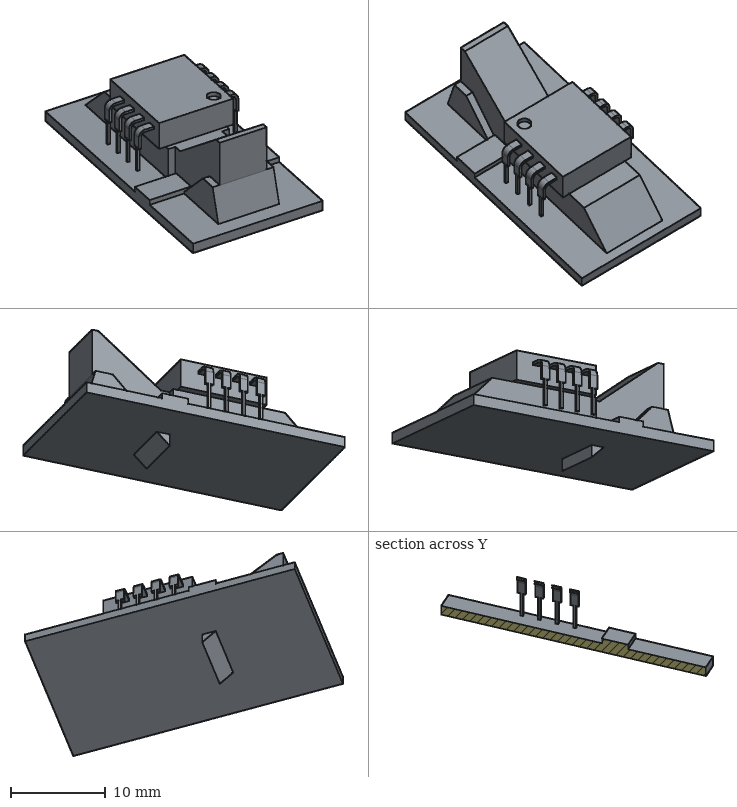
import cadquery as cq
import math


board_length = 30.0
board_width = 16.0
board_thickness = 1.2
board_left = -board_length / 2

bar_left = board_left + 18.2
bar_length = 3.0
bar_rise = 0.6

mount_width = 7.5
mount_top = 5.0
mount_left = board_left + 1.15
mount_right = board_left + 18.0
mount_ramp = 3.85

ramp_width = 5.8
ramp_foot = mount_right + 1.0
ramp_top = 10.5
ramp_crest_left = ramp_foot + 7.3
ramp_back = board_left + 27.0
wedge_depth = 1.35
wedge_length = 1.5

buttress_top = 5.2
buttress_height = buttress_top - board_thickness
buttress_crest_left = ramp_back - 2.0
buttress_front = buttress_crest_left - buttress_height
back_draft = 16.0
buttress_back = ramp_back + buttress_height * math.tan(math.radians(back_draft))

package_length = 9.94
package_width = 9.15
package_height = 3.25
package_center = board_left + 12.5
package_top = mount_top + package_height
dimple_diameter = 1.48
dimple_inset = 1.5
dimple_depth = 0.5

leads_per_side = 4
lead_pitch = 2.0
lead_row_offset = 0.5
lead_thickness = 0.3
lead_width = 0.9
lead_tip_width = 0.3
lead_bend_inside = 0.5
lead_bend_outside = lead_bend_inside + lead_thickness
lead_reach = 6.45
lead_top = 7.25
lead_shoulder = mount_top
lead_bottom = 2.13


def extrude_across(points, width):
    """Extrude an XZ outline to the given width, centred on Y = 0."""
    return cq.Workplane("XZ").polyline(points).close().extrude(width / 2, both=True)


def make_board():
    board = cq.Workplane("XY").box(
        board_length, board_width, board_thickness, centered=(True, True, False)
    )
    bar = (
        cq.Workplane("XY")
        .box(bar_length, board_width, board_thickness + bar_rise, centered=(False, True, False))
        .translate((bar_left, 0, 0))
    )
    return board.union(bar)


def make_mount():
    return extrude_across(
        [
            (mount_left, board_thickness),
            (mount_left + mount_ramp, mount_top),
            (mount_right, mount_top),
            (mount_right, board_thickness),
        ],
        mount_width,
    )


def make_ramp():
    return extrude_across(
        [
            (mount_right, -wedge_depth),
            (mount_right, mount_top),
            (ramp_foot, mount_top),
            (ramp_crest_left, ramp_top),
            (ramp_back, ramp_top),
            (ramp_back, board_thickness),
            (mount_right + wedge_length, board_thickness),
            (mount_right + wedge_length, 0),
        ],
        ramp_width,
    )


def make_buttress():
    return extrude_across(
        [
            (buttress_front, board_thickness),
            (buttress_crest_left, buttress_top),
            (ramp_back, buttress_top),
            (buttress_back, board_thickness),
        ],
        mount_width,
    )


def make_base():
    return make_board().union(make_mount()).union(make_ramp()).union(make_buttress())


def make_lead():
    """One lead on the -Y side, centred on X = 0 and rooted in the package's side face."""
    outer_y = -lead_reach
    inner_y = outer_y + lead_thickness
    root_y = -package_width / 2
    underside = lead_top - lead_thickness
    bend_y = outer_y + lead_bend_outside
    bend_z = lead_top - lead_bend_outside
    diagonal = math.sqrt(0.5)
    outside_step = lead_bend_outside * diagonal
    inside_step = lead_bend_inside * diagonal
    shank = (
        cq.Workplane("YZ")
        .moveTo(root_y, lead_top)
        .lineTo(bend_y, lead_top)
        .threePointArc((bend_y - outside_step, bend_z + outside_step), (outer_y, bend_z))
        .lineTo(outer_y, lead_shoulder)
        .lineTo(inner_y, lead_shoulder)
        .lineTo(inner_y, bend_z)
        .threePointArc((bend_y - inside_step, bend_z + inside_step), (bend_y, underside))
        .lineTo(root_y, underside)
        .close()
        .extrude(lead_width / 2, both=True)
    )
    tip = (
        cq.Workplane("XY", origin=(0, outer_y + lead_thickness / 2, lead_bottom))
        .box(lead_tip_width, lead_thickness, lead_shoulder - lead_bottom, centered=(True, True, False))
    )
    return shank.union(tip)


def make_package():
    """Package block with its pin-one dimple and a row of leads on each long side."""
    package = cq.Workplane("XY", origin=(0, 0, mount_top)).box(
        package_length, package_width, package_height, centered=(True, True, False)
    )
    dimple = (
        cq.Workplane("XY", origin=(0, 0, package_top - dimple_depth))
        .center(package_length / 2 - dimple_inset, package_width / 2 - dimple_inset)
        .circle(dimple_diameter / 2)
        .extrude(dimple_depth)
    )
    package = package.cut(dimple)
    lead = make_lead()
    first_lead = lead_row_offset - (leads_per_side - 1) * lead_pitch / 2
    for index in range(leads_per_side):
        front_lead = lead.translate((first_lead + index * lead_pitch, 0, 0))
        back_lead = front_lead.rotate((0, 0, 0), (0, 0, 1), 180)
        package = package.union(front_lead).union(back_lead)
    return package.translate((package_center, 0, 0))


base = make_base()
package = make_package()

result = cq.Compound.makeCompound([base.val(), package.val()])